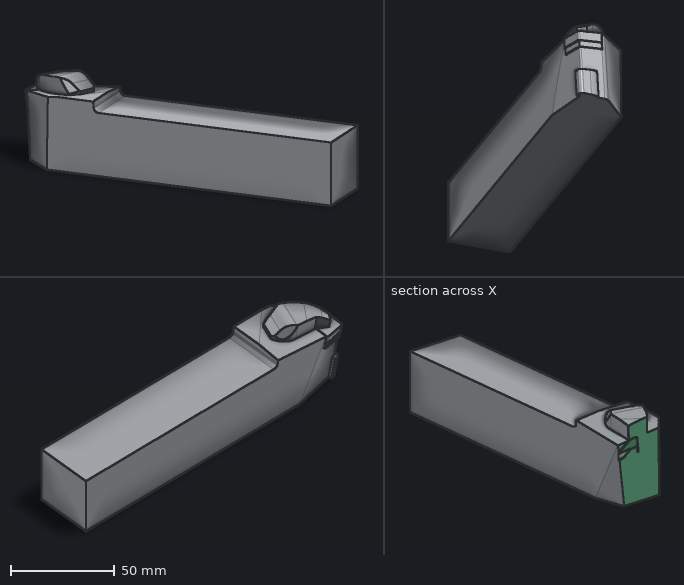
import cadquery as cq
import math

overall_length = 169.95
shank_width = 32.0
shank_height = 32.0
head_height = 37.4
head_end = 44.1
step_foot = 44.7
step_radius = 2.6
nose_margin = 10.0

seat_slope = math.tan(math.radians(5.5))
seat_crease_x = 25.8
nose_x = -0.035
nose_y = 29.81
nose_z = head_height - seat_slope * (seat_crease_x - nose_x + nose_y)
nose_point = (nose_x, nose_y, nose_z)
seat_plane = cq.Plane(nose_point, (1, 0, seat_slope), (-seat_slope, seat_slope, 1))
reach = 60.0

inscribed_circle = 12.7
corner_angle = 100.0
side_angle = 13.5
insert_side = inscribed_circle / math.sin(math.radians(corner_angle))
insert_thickness = 4.76
corner_radius = 0.8

shim_thickness = 3.18
shim_inset = 0.45
flank_inset = 0.9
pocket_depth = insert_thickness + shim_thickness

relief_start = (1.3, 16.3)
relief_end = (20.2, 0.0)
relief_corner_radius = 3.4
flank_corner_radius = 0.8
relief_overrun = 3

lug_depth = 19.9
lug_rear_side = (3.0, 1.6)
lug_round_start = (0.8, 1.1)
lug_round_middle = (-0.15, 0.4)
lug_round_end = (-0.45, -0.9)
lug_front_end = (-0.2, -4.9)
lug_curve_middle = (0.3, -7.4)
lug_curve_end = (1.7, -9.4)
lug_rear_end = (4.0, -9.4)

clamp_height = 20.0
tip_near = (3.95, 23.65)
near_side_start = (7.5, 19.2)
near_side_middle = (16.5, 10.8)
near_side_end = (28.6, 6.4)
tail_near = (33.4, 9.2)
tail_far = (36.5, 18.3)
far_curve_middle = (34.0, 22.3)
far_curve_end = (26.5, 25.0)
neck_far = (13.6, 24.8)
tip_far = (6.75, 27.6)

nose_heading = -35.0
knee = cq.Vector(-6.8, 40.2)
nose_rise = 0.7
nose_length = 15.0
crown = cq.Vector(1.2, 42.95)
crown_rise = 0.155
crown_length = 40.0

rear_heading = -19.0
crest_x = 25.8
crest_y = 25.1
tail_start = cq.Vector(8.0, -2.3)
tail_end = cq.Vector(14.0, -7.2)
profile_depth = 40.0

near_facet = [(24.5, 8.9, 44.4), (28.5, 6.4, 37.4), (33.2, 8.9, 38.2)]
far_facet = [(26.5, 25.0, 43.9), (33.1, 20.9, 41.7), (35.1, 21.2, 38.0)]


def direction(angle):
    return cq.Vector(math.cos(math.radians(angle)), math.sin(math.radians(angle)))


def seat_point(x, y):
    """Seat-plane coordinates of the point straight above or below world (x, y)."""
    rise = seat_slope * ((x - nose_point[0]) - (y - nose_point[1]))
    local = seat_plane.toLocalCoords(cq.Vector(x, y, nose_point[2] + rise))
    return (local.x, local.y)


def seat_workplane(depth=0.0):
    return cq.Workplane(seat_plane).workplane(offset=-depth)


def rhombus_corners(inset=0.0):
    """Insert outline with every edge moved inward by the inset."""
    along_side = direction(side_angle)
    along_lead = direction(side_angle - corner_angle)
    near = inset / math.sin(math.radians(corner_angle))
    far = insert_side - near
    steps = [(near, near), (far, near), (far, far), (near, far)]
    corners = [along_side * side + along_lead * lead for side, lead in steps]
    return [(corner.x, corner.y) for corner in corners]


def make_insert():
    blank = seat_workplane().polyline(rhombus_corners()).close().extrude(-insert_thickness)
    upright = cq.selectors.ParallelDirSelector(seat_plane.zDir)
    return blank.edges(upright).fillet(corner_radius)


def edge_below(corner):
    """Selects the upright edge of the head prism that passes through a seat-plane corner."""
    middle = seat_plane.toWorldCoords((corner.x, corner.y, -reach / 2))
    return cq.selectors.NearestToPointSelector(middle)


def make_head_envelope():
    """Tilted prism that bounds the nose: two flanks, the relief face and open sides."""
    along_side = direction(side_angle)
    along_lead = direction(side_angle - corner_angle)
    nose = cq.Vector(*rhombus_corners(flank_inset)[0])
    start = cq.Vector(*seat_point(*relief_start))
    relief = cq.Vector(*seat_point(*relief_end)) - start
    relief_far = start + relief * relief_overrun
    gap = start - nose
    travel = gap.cross(relief).z / along_lead.cross(relief).z
    lead_end = nose + along_lead * travel
    side_far = nose + along_side * reach
    back = 2 * overall_length
    outline = [
        (nose.x, nose.y),
        (side_far.x, side_far.y),
        (back, side_far.y),
        (back, relief_far.y),
        (relief_far.x, relief_far.y),
        (lead_end.x, lead_end.y),
    ]
    prism = seat_workplane(-reach / 2).polyline(outline).close().extrude(-2 * reach)
    prism = prism.edges(edge_below(lead_end)).fillet(relief_corner_radius)
    return prism.edges(edge_below(nose)).fillet(flank_corner_radius)


def make_block():
    """Shank with the raised head and the rounded step behind it."""
    side = (
        cq.Workplane("XZ")
        .polyline([
            (-nose_margin, 0),
            (overall_length, 0),
            (overall_length, shank_height),
            (step_foot, shank_height),
            (head_end, head_height),
            (-nose_margin, head_height),
        ])
        .close()
        .extrude(-shank_width)
    )
    foot = cq.selectors.NearestToPointSelector((step_foot, shank_width / 2, shank_height))
    return side.edges(foot).fillet(step_radius)


def make_pocket():
    """Open pocket for the insert and shim, closed only along the insert's two inner edges."""
    _, side_end, inner, lead_end = [cq.Vector(*corner) for corner in rhombus_corners()]
    beyond_side = side_end * 2 - inner
    beyond_lead = lead_end * 2 - inner
    outer = beyond_side + beyond_lead - inner
    corners = [(p.x, p.y) for p in (inner, beyond_side, outer, beyond_lead)]
    return seat_workplane().polyline(corners).close().extrude(-pocket_depth)


def make_lug():
    """Lug on the lower flank: a flat front that curves back into the flank."""
    return (
        seat_workplane(lug_depth)
        .moveTo(*lug_rear_side)
        .lineTo(*lug_round_start)
        .threePointArc(lug_round_middle, lug_round_end)
        .lineTo(*lug_front_end)
        .threePointArc(lug_curve_middle, lug_curve_end)
        .lineTo(*lug_rear_end)
        .close()
        .extrude(-reach)
    )


def space_beyond(corners):
    """Block lying on the outer side of the plane through three points."""
    first, second, third = [cq.Vector(*corner) for corner in corners]
    outward = (second - first).cross(third - first)
    plane = cq.Plane(first, second - first, outward)
    return cq.Workplane(plane).rect(2 * reach, 2 * reach).extrude(reach)


def make_clamp_blank():
    """Clamp outline raised square to the seat plane."""
    return (
        seat_workplane()
        .moveTo(*seat_point(*tip_near))
        .lineTo(*seat_point(*near_side_start))
        .threePointArc(seat_point(*near_side_middle), seat_point(*near_side_end))
        .lineTo(*seat_point(*tail_near))
        .lineTo(*seat_point(*tail_far))
        .threePointArc(seat_point(*far_curve_middle), seat_point(*far_curve_end))
        .lineTo(*seat_point(*neck_far))
        .lineTo(*seat_point(*tip_far))
        .close()
        .extrude(clamp_height)
    )


def make_nose_profile():
    """Space under the sloping nose, the curved crown and the flat crown."""
    along = direction(nose_heading)
    side = cq.Plane((0, 0, 0), along, along.cross(cq.Vector(0, 0, 1)))
    nose_end = knee - cq.Vector(1, nose_rise) * nose_length
    crown_end = crown + cq.Vector(1, crown_rise) * crown_length
    return (
        cq.Workplane(side)
        .moveTo(crown_end.x, 0)
        .lineTo(crown_end.x, crown_end.y)
        .lineTo(crown.x, crown.y)
        .tangentArcPoint((knee.x, knee.y), relative=False)
        .lineTo(nose_end.x, nose_end.y)
        .lineTo(nose_end.x, 0)
        .close()
        .extrude(reach, both=True)
    )


def make_rear_profile():
    """Space under the rounded rear and its tail slope."""
    nose_along = direction(nose_heading)
    crest_travel = nose_along.dot(cq.Vector(crest_x, crest_y))
    crest = cq.Vector(crest_x, crest_y, crown.y + crown_rise * (crest_travel - crown.x))
    along = direction(rear_heading)
    across = cq.Vector(-along.y, along.x)
    ruling = across + cq.Vector(0, 0, crown_rise * nose_along.dot(across))
    side = cq.Plane(crest, along, ruling * -1)
    crown_normal = cq.Vector(0, 0, 1) - nose_along * crown_rise
    fall_line = ruling.cross(crown_normal)
    front_rise = fall_line.dot(side.yDir) / fall_line.dot(side.xDir)
    return (
        cq.Workplane(side)
        .moveTo(-profile_depth, -profile_depth)
        .lineTo(-profile_depth, -profile_depth * front_rise)
        .lineTo(0, 0)
        .tangentArcPoint((tail_start.x, tail_start.y), relative=False)
        .lineTo(tail_end.x, tail_end.y)
        .lineTo(tail_end.x, -profile_depth)
        .close()
        .extrude(reach, both=True)
    )


def make_clamp():
    clamp = make_clamp_blank().intersect(make_nose_profile()).intersect(make_rear_profile())
    for corners in (near_facet, far_facet):
        clamp = clamp.cut(space_beyond(corners))
    return clamp


def make_holder():
    """Shank and head with the shim, lug and clamp fixed to it."""
    above_seat = seat_workplane().rect(6 * reach, 6 * reach).extrude(reach)
    head = make_block().cut(above_seat)
    head = head.intersect(make_head_envelope())
    shim = (
        seat_workplane(insert_thickness)
        .polyline(rhombus_corners(shim_inset))
        .close()
        .extrude(-shim_thickness)
    )
    ground = cq.Workplane().box(4 * reach, 4 * reach, 2 * reach).translate((0, 0, -reach))
    lug = make_lug().cut(ground)
    return head.cut(make_pocket()).union(shim).union(lug).union(make_clamp())


insert = make_insert()
holder = make_holder()

result = cq.Compound.makeCompound([*holder.vals(), *insert.vals()])